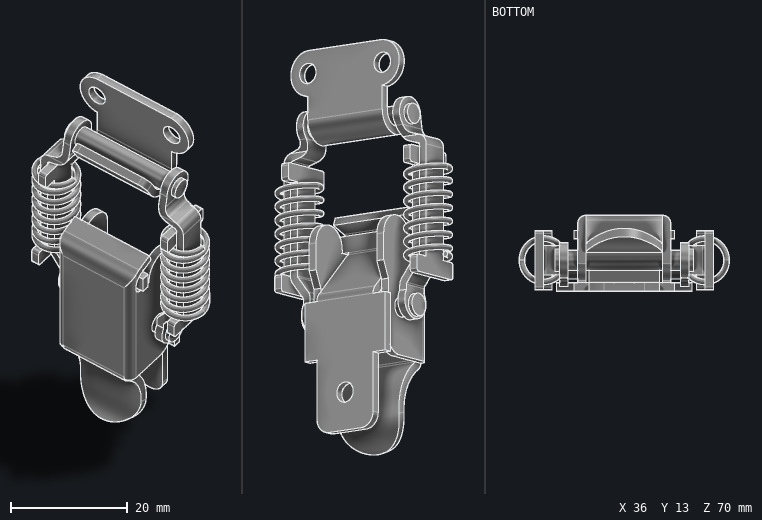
import cadquery as cq
import math


SHEET = 1.5
TIGHT_BEND = 0.5
BODY_HALF_WIDTH = 8.0
PIN_R = 1.75
PIN_HALF_LENGTH = 11.8
UPPER_PIN_Y = -3.85
UPPER_PIN_Z = 57.25
LOWER_PIN_Z = 24.15
REACH = 49.0

SPRING_X = 13.8
SPRING_Y = -5.3
WIRE_R = 0.5
COIL_R = 3.7
SPRING_BOTTOM = 31.8
SPRING_TOP = 48.1
COIL_TURNS = 6.5

ARM_WIDTH = 5.0
HEAD_R = 3.0
HEAD_X = 9.6
TEE_WIDTH = 10.15
TEE_HEIGHT = 3.0
TEE_CORNER_R = 0.5
UPPER_BEND_ANGLE = 75
UPPER_BEND_R = 1.5
UPPER_BEND_TOP = 55.1
NECK_BOTTOM = 53.2
NECK_FRONT_BULGE = 0.4
LOWER_BEND_ANGLE = 38
LOWER_BEND_BOTTOM = 27.35
LOWER_HEAD_Z = 24.8
RIVET_R = 1.95

CATCH_TOP = 70.0
EAR_R = 4.0
EAR_TIP_X = 11.6
CATCH_HOLE_R = 1.75
HOOK_R = 2.4
HOOK_LIP_ANGLE = 30
HOOK_LIP_LENGTH = 3.8
HOOK_LIP_CORNER_R = 1.5

LEVER_FRONT = -13.0
LEVER_TOP_BEND_Z = 37.6
LEVER_TOP_BEND_ANGLE = 69
LEVER_TOP_BEND_R = 2.1
LEVER_TOP_LENGTH = 3.15
SIDE_BOTTOM = 15.75
SIDE_BACK = -1.75
SIDE_CORNER_R = 3.0
SHOULDER_LOW = 28.6
SHOULDER_HIGH = 31.6
LUG_BACK = -0.4
LUG_R = 3.7
LUG_Z = 36.3
NOTCH_BOTTOM = 35.7
NOTCH_CORNER_R = 1.2
HANDLE_HALF_WIDTH = BODY_HALF_WIDTH - SHEET
HANDLE_BEND_Z = 16.2
HANDLE_BEND_ANGLE = 56
HANDLE_R = 9.1
HANDLE_END_SLOPE = 22

BASE_BOTTOM = 2.8
BASE_HALF_WIDTH = 8.6
BASE_NARROW = 6.0
BASE_WIDE_BOTTOM = 15.75
BASE_BEND_Z = 25.95
BASE_BEND_ANGLE = 45
BASE_TAB_BACK = -8.95
BASE_TAB_HEIGHT = 2.95
BASE_CORNER_R = 2.6
BASE_HOLE_R = 1.75
BASE_HOLE_Z = 9.45


def polar(angle, length):
    """Offset of the given length in the direction of an angle in degrees."""
    return length * math.cos(math.radians(angle)), length * math.sin(math.radians(angle))


def bent_strip(plane, start, heading, moves):
    """Closed profile of a bent sheet, followed along its middle line.

    A move is a length for a straight run, or (angle, inside radius) for a bend;
    a positive angle turns left.
    """
    half = SHEET / 2

    def edge_point(position, direction, side):
        offset = polar(direction + 90 * side, half)
        return position[0] + offset[0], position[1] + offset[1]

    def advance(position, direction, move):
        if not isinstance(move, tuple):
            step = polar(direction, move)
            return (position[0] + step[0], position[1] + step[1]), direction
        angle, inside_r = move
        chord = 2 * (inside_r + half) * math.sin(math.radians(abs(angle) / 2))
        step = polar(direction + angle / 2, chord)
        return (position[0] + step[0], position[1] + step[1]), direction + angle

    stations = [(start, heading)]
    middles = []
    for move in moves:
        position, direction = stations[-1]
        if isinstance(move, tuple):
            middles.append(advance(position, direction, (move[0] / 2, move[1])))
        else:
            middles.append(None)
        stations.append(advance(position, direction, move))

    def trace(profile, side, order):
        for middle, station in order:
            end = edge_point(*station, side)
            if middle is None:
                profile = profile.lineTo(*end)
            else:
                profile = profile.threePointArc(edge_point(*middle, side), end)
        return profile

    profile = cq.Workplane(plane).moveTo(*edge_point(*stations[0], 1))
    profile = trace(profile, 1, zip(middles, stations[1:]))
    profile = profile.lineTo(*edge_point(*stations[-1], -1))
    profile = trace(profile, -1, zip(reversed(middles), reversed(stations[:-1])))
    return profile.close()


def offset_run(shift, angle, radius_sum):
    """Straight run between two opposite bends that together move a sheet sideways by shift."""
    bend_shift = radius_sum * (1 - math.cos(math.radians(angle)))
    return (shift - bend_shift) / math.sin(math.radians(angle))


def offset_rise(run, angle, radius_sum):
    """Distance covered along the sheet by two opposite bends and the run between them."""
    return radius_sum * math.sin(math.radians(angle)) + run * math.cos(math.radians(angle))


def rod_x(radius, half_length, y, z):
    """Cylinder along X, centred on X = 0."""
    return cq.Workplane("YZ").center(y, z).circle(radius).extrude(half_length, both=True)


def block(x_limits, y_limits, z_limits):
    """Box between pairs of limits."""
    limits = (x_limits, y_limits, z_limits)
    sizes = [high - low for low, high in limits]
    corner = cq.Vector(*[low for low, high in limits])
    return cq.Workplane("XY").box(*sizes, centered=False).translate(corner)


def both_sides(part):
    """Part joined with its mirror image across X = 0."""
    return part.union(part.mirror("YZ"))


def tee_end(inner_x, bottom):
    """Crosswise end of an arm, on which the spring bears."""
    return (
        cq.Workplane("YZ", origin=(inner_x, SPRING_Y, bottom + TEE_HEIGHT / 2))
        .rect(TEE_WIDTH, TEE_HEIGHT)
        .extrude(SHEET)
        .edges("|X")
        .fillet(TEE_CORNER_R)
    )


def make_upper_yoke():
    """Pin with two arms that hang down through the springs."""
    strip_back = SPRING_Y + ARM_WIDTH / 2
    strip_front = SPRING_Y - ARM_WIDTH / 2
    tee_bottom = SPRING_BOTTOM - TEE_HEIGHT

    radius_sum = UPPER_BEND_R + TIGHT_BEND + SHEET
    run = offset_run(SPRING_X - HEAD_X, UPPER_BEND_ANGLE, radius_sum)
    strip_top = UPPER_BEND_TOP - offset_rise(run, UPPER_BEND_ANGLE, radius_sum)
    head_top = UPPER_PIN_Z + HEAD_R
    moves = [
        head_top - UPPER_BEND_TOP,
        (UPPER_BEND_ANGLE, UPPER_BEND_R),
        run,
        (-UPPER_BEND_ANGLE, TIGHT_BEND),
        strip_top - tee_bottom,
    ]
    sheet = bent_strip("XZ", (HEAD_X + SHEET / 2, head_top), -90, moves).extrude(REACH, both=True)

    head_drop = UPPER_PIN_Z - UPPER_BEND_TOP
    head_back = UPPER_PIN_Y + math.sqrt(HEAD_R**2 - head_drop**2)
    head_front = UPPER_PIN_Y - HEAD_R
    outline = (
        cq.Workplane("YZ")
        .moveTo(head_back, UPPER_BEND_TOP)
        .lineTo(strip_back, NECK_BOTTOM)
        .lineTo(strip_back, tee_bottom)
        .lineTo(strip_front, tee_bottom)
        .lineTo(strip_front, NECK_BOTTOM)
        .threePointArc((head_front - NECK_FRONT_BULGE, UPPER_BEND_TOP), (head_front, UPPER_PIN_Z))
        .threePointArc((UPPER_PIN_Y, head_top), (head_back, UPPER_BEND_TOP))
        .close()
        .extrude(REACH, both=True)
    )
    arm = sheet.intersect(outline).union(tee_end(SPRING_X, tee_bottom))
    return both_sides(arm).union(rod_x(PIN_R, PIN_HALF_LENGTH, UPPER_PIN_Y, UPPER_PIN_Z))


def make_lower_yoke():
    """Riveted pin with two arms that stand up through the springs."""
    tee_top = SPRING_TOP + TEE_HEIGHT
    head_bottom = LOWER_HEAD_Z - HEAD_R
    radius_sum = 2 * TIGHT_BEND + SHEET
    run = offset_run(SPRING_X - SHEET - HEAD_X, LOWER_BEND_ANGLE, radius_sum)
    strip_bottom = LOWER_BEND_BOTTOM + offset_rise(run, LOWER_BEND_ANGLE, radius_sum)
    moves = [
        LOWER_BEND_BOTTOM - head_bottom,
        (-LOWER_BEND_ANGLE, TIGHT_BEND),
        run,
        (LOWER_BEND_ANGLE, TIGHT_BEND),
        tee_top - strip_bottom,
    ]
    sheet = bent_strip("XZ", (HEAD_X + SHEET / 2, head_bottom), 90, moves).extrude(REACH, both=True)

    head = rod_x(HEAD_R, REACH, SPRING_Y, LOWER_HEAD_Z)
    strip = block(
        (-REACH, REACH),
        (SPRING_Y - ARM_WIDTH / 2, SPRING_Y + ARM_WIDTH / 2),
        (LOWER_HEAD_Z, tee_top),
    )
    arm = sheet.intersect(head.union(strip)).union(tee_end(SPRING_X - SHEET, SPRING_TOP))

    arm_outside = HEAD_X + SHEET
    rivet = (
        cq.Workplane("YZ", origin=(arm_outside, SPRING_Y, LOWER_PIN_Z))
        .circle(RIVET_R)
        .extrude(PIN_HALF_LENGTH - arm_outside)
    )
    return both_sides(arm.union(rivet)).union(rod_x(PIN_R, arm_outside, SPRING_Y, LOWER_PIN_Z))


def make_spring(x):
    """Right-hand coil with a flat half turn at each end along its front."""
    low = SPRING_BOTTOM + WIRE_R
    rise = SPRING_TOP - WIRE_R - low

    def wire_section(section_x, z):
        return cq.Workplane("XZ", origin=(section_x, SPRING_Y, z)).circle(WIRE_R)

    def flat_half_turn(z):
        return wire_section(x - COIL_R, z).revolve(180, (COIL_R, 0), (COIL_R, 1))

    helix = cq.Wire.makeHelix(rise / COIL_TURNS, rise, COIL_R, cq.Vector(x, SPRING_Y, low))
    coil = wire_section(x + COIL_R, low).sweep(cq.Workplane(helix), isFrenet=True)
    return coil.union(flat_half_turn(low)).union(flat_half_turn(low + rise))


def make_catch():
    """Mounting plate with two ears, bent into an open hook under the upper pin."""
    hook_z = UPPER_PIN_Z - PIN_R + HOOK_R
    moves = [CATCH_TOP - hook_z, (-(180 - HOOK_LIP_ANGLE), HOOK_R), HOOK_LIP_LENGTH]
    sheet = bent_strip("YZ", (-SHEET / 2, CATCH_TOP), -90, moves).extrude(BODY_HALF_WIDTH, both=True)
    lip_thickness = cq.Vector(0, *polar(HOOK_LIP_ANGLE, 1))
    lip_corners = cq.selectors.ParallelDirSelector(lip_thickness)
    sheet = sheet.edges(lip_corners).fillet(HOOK_LIP_CORNER_R)

    ear_z = CATCH_TOP - EAR_R
    ears = (
        cq.Workplane("XZ")
        .moveTo(-BODY_HALF_WIDTH, ear_z - EAR_R)
        .lineTo(BODY_HALF_WIDTH, ear_z - EAR_R)
        .threePointArc((EAR_TIP_X, ear_z), (BODY_HALF_WIDTH, CATCH_TOP))
        .lineTo(-BODY_HALF_WIDTH, CATCH_TOP)
        .threePointArc((-EAR_TIP_X, ear_z), (-BODY_HALF_WIDTH, ear_z - EAR_R))
        .close()
        .extrude(SHEET)
    )
    holes = (
        cq.Workplane("XZ")
        .pushPoints([(-BODY_HALF_WIDTH, ear_z), (BODY_HALF_WIDTH, ear_z)])
        .circle(CATCH_HOLE_R)
        .extrude(SHEET)
    )
    return sheet.union(ears).cut(holes)


def make_lever():
    """Channel with a hooked top, two side plates and a curved handle."""
    plate_y = LEVER_FRONT + SHEET / 2
    bend_start = (plate_y, LEVER_TOP_BEND_Z)

    top_moves = [(-LEVER_TOP_BEND_ANGLE, LEVER_TOP_BEND_R), LEVER_TOP_LENGTH]
    top = bent_strip("YZ", bend_start, 90, top_moves).extrude(BODY_HALF_WIDTH, both=True)
    plate = block(
        (-HANDLE_HALF_WIDTH, HANDLE_HALF_WIDTH),
        (LEVER_FRONT, LEVER_FRONT + SHEET),
        (HANDLE_BEND_Z, LEVER_TOP_BEND_Z),
    )

    lug_front = LUG_BACK - 2 * LUG_R
    notch_front = LEVER_FRONT + SHEET
    notch_corner_y = notch_front + NOTCH_CORNER_R
    notch_corner_z = NOTCH_BOTTOM + NOTCH_CORNER_R
    corner_middle = polar(-135, NOTCH_CORNER_R)
    side_corner_y = SIDE_BACK - SIDE_CORNER_R
    side_corner_z = SIDE_BOTTOM + SIDE_CORNER_R
    side_middle = polar(-45, SIDE_CORNER_R)
    side = (
        cq.Workplane("YZ", origin=(BODY_HALF_WIDTH - SHEET, 0, 0))
        .moveTo(LEVER_FRONT, SIDE_BOTTOM)
        .lineTo(side_corner_y, SIDE_BOTTOM)
        .threePointArc(
            (side_corner_y + side_middle[0], side_corner_z + side_middle[1]), (SIDE_BACK, side_corner_z)
        )
        .lineTo(SIDE_BACK, SHOULDER_LOW)
        .lineTo(LUG_BACK, SHOULDER_HIGH)
        .lineTo(LUG_BACK, LUG_Z)
        .threePointArc((LUG_BACK - LUG_R, LUG_Z + LUG_R), (lug_front, LUG_Z))
        .lineTo(lug_front, NOTCH_BOTTOM)
        .lineTo(notch_corner_y, NOTCH_BOTTOM)
        .threePointArc(
            (notch_corner_y + corner_middle[0], notch_corner_z + corner_middle[1]),
            (notch_front, notch_corner_z),
        )
        .lineTo(notch_front, LEVER_TOP_BEND_Z)
        .lineTo(LEVER_FRONT, LEVER_TOP_BEND_Z)
        .close()
        .extrude(SHEET)
    )
    channel = top.union(plate).union(both_sides(side))
    rounded_front = (
        block((-BODY_HALF_WIDTH, BODY_HALF_WIDTH), (LEVER_FRONT, 0), (0, REACH))
        .edges("|Z and <Y")
        .fillet(SHEET)
    )
    channel = channel.intersect(rounded_front)
    channel = channel.cut(rod_x(PIN_R, BODY_HALF_WIDTH, SPRING_Y, LOWER_PIN_Z))
    return channel.union(make_handle(plate_y))


def make_handle(plate_y):
    """Curved finger grip with a rounded end, reaching down to Z = 0."""
    arc_middle_r = HANDLE_R + SHEET / 2
    drop = polar(HANDLE_BEND_ANGLE, TIGHT_BEND + SHEET / 2 + arc_middle_r)[1]
    arc_centre_z = HANDLE_BEND_Z - drop
    tip_angle = math.degrees(math.asin(arc_centre_z / (HANDLE_R + SHEET)))
    moves = [
        LEVER_TOP_BEND_Z - HANDLE_BEND_Z,
        (HANDLE_BEND_ANGLE, TIGHT_BEND),
        (-(HANDLE_BEND_ANGLE + 90), HANDLE_R),
    ]
    strip = bent_strip("YZ", (plate_y, LEVER_TOP_BEND_Z), -90, moves).extrude(HANDLE_HALF_WIDTH, both=True)

    arc_centre_y = (
        plate_y
        + TIGHT_BEND
        + SHEET / 2
        - polar(HANDLE_BEND_ANGLE, TIGHT_BEND + SHEET / 2 + arc_middle_r)[0]
    )
    to_tip = polar(-tip_angle, HANDLE_R + SHEET)
    tip_plane = cq.Plane(
        origin=(0, arc_centre_y + to_tip[0], arc_centre_z + to_tip[1]),
        xDir=(1, 0, 0),
        normal=(0, *polar(180 - HANDLE_END_SLOPE, 1)),
    )
    outline = (
        cq.Workplane(tip_plane)
        .moveTo(HANDLE_HALF_WIDTH, REACH)
        .lineTo(HANDLE_HALF_WIDTH, HANDLE_HALF_WIDTH)
        .threePointArc((0, 0), (-HANDLE_HALF_WIDTH, HANDLE_HALF_WIDTH))
        .lineTo(-HANDLE_HALF_WIDTH, REACH)
        .close()
        .extrude(REACH, both=True)
    )
    return strip.intersect(outline)


def make_base():
    """Back plate that slopes forward into the lever and ends in a wide tab."""
    radius_sum = 2 * TIGHT_BEND + SHEET
    run = offset_run(-BASE_TAB_BACK, BASE_BEND_ANGLE, radius_sum)
    tab_bottom = BASE_BEND_Z + offset_rise(run, BASE_BEND_ANGLE, radius_sum)
    moves = [
        BASE_BEND_Z - BASE_BOTTOM,
        (BASE_BEND_ANGLE, TIGHT_BEND),
        run,
        (-BASE_BEND_ANGLE, TIGHT_BEND),
        BASE_TAB_HEIGHT,
    ]
    sheet = bent_strip("YZ", (-SHEET / 2, BASE_BOTTOM), 90, moves).extrude(BASE_HALF_WIDTH, both=True)

    depth = (-REACH, REACH)
    narrow = (
        block((-BASE_NARROW, BASE_NARROW), depth, (BASE_BOTTOM, REACH))
        .edges("|Y and <Z")
        .fillet(BASE_CORNER_R)
    )
    wide = block((-BASE_HALF_WIDTH, BASE_HALF_WIDTH), depth, (BASE_WIDE_BOTTOM, BASE_BEND_Z))
    tab = block((-BASE_HALF_WIDTH, BASE_HALF_WIDTH), depth, (tab_bottom, REACH))
    hole = cq.Workplane("XZ").center(0, BASE_HOLE_Z).circle(BASE_HOLE_R).extrude(SHEET)
    return sheet.intersect(narrow.union(wide).union(tab)).cut(hole)


catch = make_catch()
upper_yoke = make_upper_yoke()
lower_yoke = make_lower_yoke()
lever = make_lever()
base = make_base()
springs = [make_spring(x) for x in (-SPRING_X, SPRING_X)]

bodies = [catch, upper_yoke, lower_yoke, lever, base, *springs]
result = cq.Compound.makeCompound([body.solids().val() for body in bodies])